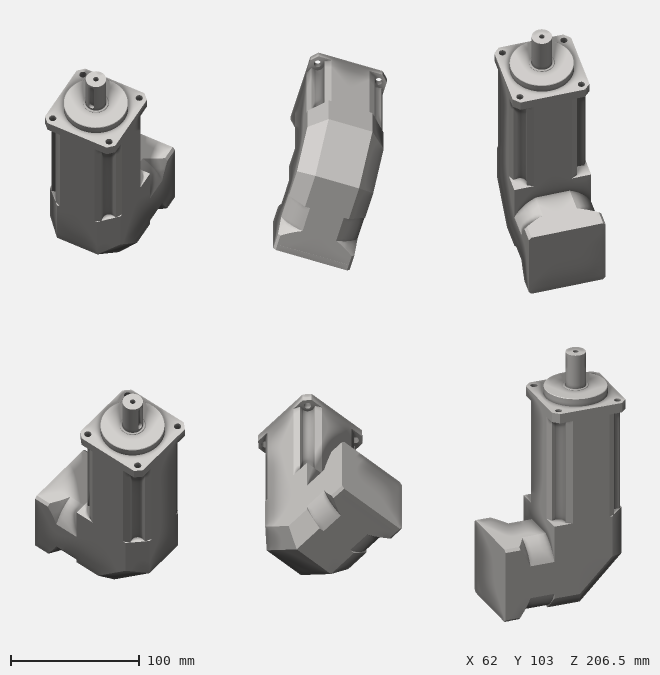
import cadquery as cq
import math

side = 62.0
half = side / 2
total_height = 206.5
total_depth = 103.0

pad_thickness = 0.2
housing_bottom = pad_thickness
groove_bottom = 75.2
flange_bottom = 163.0
flange_top = 171.0
boss_top = 177.5
seal_top = 178.2

elbow_cut = 35.1
housing_chamfer = 13.2

flange_chamfer = 5.0
hole_offset = 24.8
hole_diameter = 5.5

groove_mouth = 15.7
lip_near = 2.5
lip_far = 10.7
groove_radius = 5.4

boss_diameter = 50.0
boss_chamfer = 0.5
seal_diameter = 20.0
seal_bevel = 0.5
shaft_diameter = 16.0
center_diameter = 4.3
center_depth = 10.3
drill_angle = 118.0
key_width = 5.0
key_length = 25.0
key_bottom = 179.7
key_depth = 2.9

adapter_back = total_depth - half
adapter_axis_z = housing_bottom + half
adapter_chamfer = 2.0
neck_radius = 33.9
neck_length = 20.0
pad_length = 4.7


def make_housing():
    """Elbow block: side outline extruded across X, with its outer edges chamfered."""
    outline = [
        (half, housing_bottom),
        (half, flange_bottom),
        (-half, flange_bottom),
        (-half, housing_bottom + elbow_cut),
        (elbow_cut - half, housing_bottom),
    ]
    block = cq.Workplane("YZ").polyline(outline).close().extrude(half, both=True)
    elbow_middle = elbow_cut / 2
    outer_edge_points = [
        (-half, (housing_bottom + elbow_cut + flange_bottom) / 2),
        (elbow_middle - half, housing_bottom + elbow_middle),
        (elbow_cut / 2, housing_bottom),
    ]
    edges = block.newObject([])
    for x in (-half, half):
        for y, z in outer_edge_points:
            nearest = cq.selectors.NearestToPointSelector((x, y, z))
            edges = edges.add(block.edges(nearest))
    return edges.chamfer(housing_chamfer)


def make_corner_groove():
    """Groove cutter for the (-X, -Y) corner; symmetric about the corner's diagonal."""
    hole_inset = half - hole_offset
    wall = hole_inset + groove_radius
    arc_middle = hole_inset + groove_radius * math.sqrt(0.5)
    return (
        cq.Workplane("XY", origin=(-half, -half, groove_bottom))
        .moveTo(groove_mouth, 0)
        .lineTo(lip_far, lip_near)
        .lineTo(wall, hole_inset)
        .threePointArc((arc_middle, arc_middle), (hole_inset, wall))
        .lineTo(lip_near, lip_far)
        .lineTo(0, groove_mouth)
        .lineTo(0, 0)
        .close()
        .extrude(flange_bottom - groove_bottom)
    )


def make_flange():
    """Square mounting flange with chamfered corners and four through holes."""
    return (
        cq.Workplane("XY", origin=(0, 0, flange_bottom))
        .rect(side, side)
        .extrude(flange_top - flange_bottom)
        .edges("|Z")
        .chamfer(flange_chamfer)
        .faces(">Z")
        .workplane()
        .rect(2 * hole_offset, 2 * hole_offset, forConstruction=True)
        .vertices()
        .hole(hole_diameter)
    )


def make_cylinder(diameter, bottom, top):
    """Cylinder on the shaft axis."""
    return cq.Workplane("XY", origin=(0, 0, bottom)).circle(diameter / 2).extrude(top - bottom)


def make_seal():
    """Seal ring around the shaft, bevelled outside and towards the shaft."""
    seal = make_cylinder(seal_diameter, flange_top, seal_top).faces(">Z").chamfer(seal_bevel)
    shaft_radius = shaft_diameter / 2
    inner_bevel = (
        cq.Workplane("XZ")
        .moveTo(0, seal_top - seal_bevel)
        .lineTo(shaft_radius, seal_top - seal_bevel)
        .lineTo(shaft_radius + seal_bevel, seal_top)
        .lineTo(0, seal_top)
        .close()
        .revolve(360, (0, 0, 0), (0, 1, 0))
    )
    return seal.cut(inner_bevel)


def make_shaft():
    """Output shaft with a keyway on the -Y side and a drilled centre hole."""
    shaft = make_cylinder(shaft_diameter, flange_top, total_height)
    keyway = (
        cq.Workplane("XZ", origin=(0, key_depth - shaft_diameter / 2, key_bottom + key_length / 2))
        .slot2D(key_length, key_width, 90)
        .extrude(shaft_diameter)
    )
    center_radius = center_diameter / 2
    point_length = center_radius / math.tan(math.radians(drill_angle / 2))
    center_bottom = total_height - center_depth
    center_hole = (
        cq.Workplane("XZ")
        .moveTo(0, total_height)
        .lineTo(center_radius, total_height)
        .lineTo(center_radius, center_bottom)
        .lineTo(0, center_bottom - point_length)
        .close()
        .revolve(360, (0, 0, 0), (0, 1, 0))
    )
    return shaft.cut(keyway).cut(center_hole)


def make_adapter():
    """Square motor adapter whose corners are turned to a round neck with a 45 degree shoulder."""
    square = (
        cq.Workplane("XZ", origin=(0, adapter_back, adapter_axis_z))
        .rect(side, side)
        .extrude(adapter_back)
        .edges("|Y")
        .chamfer(adapter_chamfer)
    )
    shoulder_start = half + neck_length
    shoulder_rise = adapter_back - shoulder_start
    turned = (
        cq.Workplane("XY")
        .polyline([
            (0, 0),
            (neck_radius, 0),
            (neck_radius, shoulder_start),
            (neck_radius + shoulder_rise, adapter_back),
            (0, adapter_back),
        ])
        .close()
        .revolve(360, (0, 0, 0), (0, 1, 0))
        .translate((0, 0, adapter_axis_z))
    )
    behind_housing = cq.Workplane("XY").box(
        2 * side, adapter_back - half, 2 * side, centered=(True, False, True)
    ).translate((0, half, adapter_axis_z))
    pad = cq.Workplane("XY").box(
        side - 2 * adapter_chamfer, pad_length, 2 * pad_thickness, centered=(True, False, False)
    ).translate((0, adapter_back - pad_length, 0))
    return square.intersect(turned).intersect(behind_housing).union(pad)


housing = make_housing()
corner_groove = make_corner_groove()
for quarter in range(4):
    housing = housing.cut(corner_groove.rotate((0, 0, 0), (0, 0, 1), 90 * quarter))

boss = make_cylinder(boss_diameter, flange_top, boss_top).faces(">Z").chamfer(boss_chamfer)

result = (
    housing.union(make_adapter())
    .union(make_flange())
    .union(boss)
    .union(make_seal())
    .union(make_shaft())
)